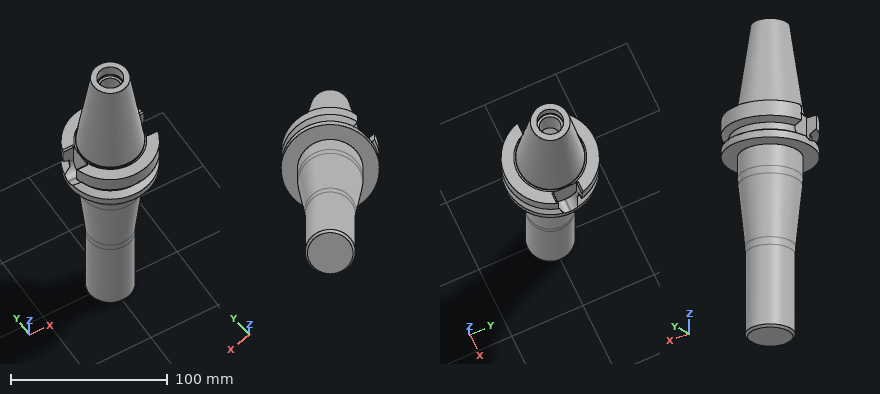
import cadquery as cq
import math

length = 218.5

taper_ratio = 7 / 24
gauge_dia = 44.45
taper_length = 65.3
gauge_z = length - taper_length
taper_small_dia = gauge_dia - taper_ratio * taper_length

relief_dia = 44.0
rim_chamfer_dia = 46.5
rim_chamfer = 0.7

flange_dia = 63.0
flange_bottom_z = 126.0
flange_top_z = 152.0
groove_dia = 53.3
groove_low_z = 131.3
groove_high_z = 141.3
groove_slope = 2.6

body_dia = 42.0
shank_dia = 32.0
cone_top_z = 108.3
cone_bottom_z = 60.3
blend_length = 2.6
end_chamfer = 1.5

slot_width = 16.4
slot_bottom_z = 130.0
slot_wall_x = 22.5
slot_corner_radius = 7.9
slot_chamfer = 1.0

bore_dia = 14.0
mouth_dia = 17.0
mouth_depth = 8.0
undercut_dia = 17.5
undercut_depth = 9.8
bore_depth = 30.5
drill_tip_angle = 118.0


def turned_body():
    """Revolve the half profile; the cone meets the cylinders in tangent arcs."""
    body_r = body_dia / 2
    shank_r = shank_dia / 2
    cone_angle = math.atan((body_r - shank_r) / (cone_top_z - cone_bottom_z))
    blend_r = blend_length * math.sin(cone_angle)
    blend_z = blend_length * math.cos(cone_angle)
    return (
        cq.Workplane("XZ")
        .moveTo(0, 0)
        .lineTo(shank_r - end_chamfer, 0)
        .lineTo(shank_r, end_chamfer)
        .lineTo(shank_r, cone_bottom_z - blend_length)
        .tangentArcPoint((shank_r + blend_r, cone_bottom_z + blend_z), relative=False)
        .lineTo(body_r - blend_r, cone_top_z - blend_z)
        .tangentArcPoint((body_r, cone_top_z + blend_length), relative=False)
        .lineTo(body_r, flange_bottom_z)
        .lineTo(flange_dia / 2, flange_bottom_z)
        .lineTo(flange_dia / 2, groove_low_z)
        .lineTo(groove_dia / 2, groove_low_z + groove_slope)
        .lineTo(groove_dia / 2, groove_high_z - groove_slope)
        .lineTo(flange_dia / 2, groove_high_z)
        .lineTo(flange_dia / 2, flange_top_z)
        .lineTo(rim_chamfer_dia / 2, flange_top_z)
        .lineTo(relief_dia / 2, flange_top_z - rim_chamfer)
        .lineTo(relief_dia / 2, gauge_z - rim_chamfer)
        .lineTo(gauge_dia / 2, gauge_z)
        .lineTo(taper_small_dia / 2, length)
        .lineTo(0, length)
        .close()
        .revolve(360, (0, 0, 0), (0, 1, 0))
    )


def drive_slot(side):
    """Round-bottomed slot cutter with a chamfered mouth, on the +X or -X side."""
    half = slot_width / 2
    flat_half = half - slot_corner_radius
    mouth_half = half + slot_chamfer
    return (
        cq.Workplane("YZ", origin=(side * slot_wall_x, 0, 0))
        .moveTo(-half, slot_bottom_z + slot_corner_radius)
        .radiusArc((-flat_half, slot_bottom_z), -slot_corner_radius)
        .lineTo(flat_half, slot_bottom_z)
        .radiusArc((half, slot_bottom_z + slot_corner_radius), -slot_corner_radius)
        .lineTo(half, flange_top_z - slot_chamfer)
        .lineTo(mouth_half, flange_top_z)
        .lineTo(-mouth_half, flange_top_z)
        .lineTo(-half, flange_top_z - slot_chamfer)
        .close()
        .extrude(side * flange_dia / 2)
    )


def end_bore():
    """Stepped blind bore with a shallow undercut and a drill-point bottom, in the taper's small end."""
    bore_r = bore_dia / 2
    tip_depth = bore_r / math.tan(math.radians(drill_tip_angle / 2))
    return (
        cq.Workplane("XZ")
        .moveTo(0, length)
        .lineTo(mouth_dia / 2, length)
        .lineTo(mouth_dia / 2, length - mouth_depth)
        .lineTo(undercut_dia / 2, length - mouth_depth)
        .lineTo(undercut_dia / 2, length - undercut_depth)
        .lineTo(bore_r, length - undercut_depth)
        .lineTo(bore_r, length - bore_depth)
        .lineTo(0, length - bore_depth - tip_depth)
        .close()
        .revolve(360, (0, 0, 0), (0, 1, 0))
    )


result = turned_body().cut(end_bore())
for side in (-1, 1):
    result = result.cut(drive_slot(side))